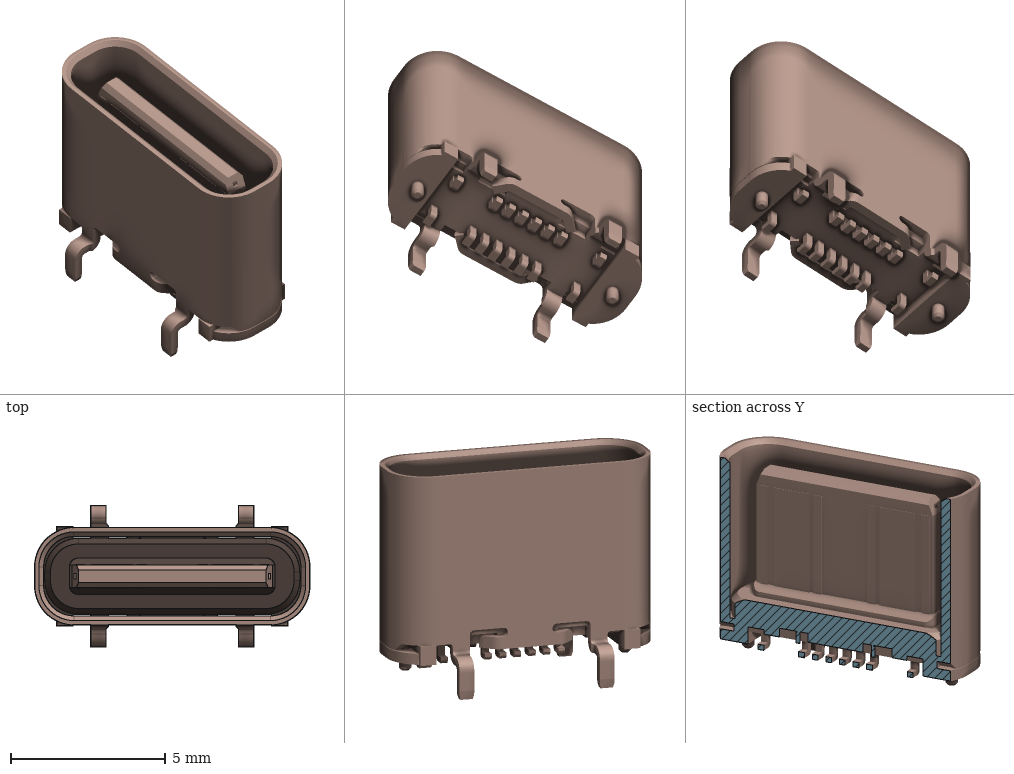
import cadquery as cq
import math


SHELL_X = 8.94
SHELL_Y = 3.165
SHELL_TOP = 6.285
SHELL_RADIUS = 1.29
SHEET = 0.295
RIM_CHAMFER = 0.15
SHELL_BOTTOM = 0.34
BEND_INNER = 0.125
BEND_OUTER = BEND_INNER + SHEET
INNER_FACE_Y = SHELL_Y / 2 - SHEET

CUT_MARGIN = 0.09
JOIN_OVERLAP = 0.09
FILLET_SLACK = 0.001

FOOT_TOP = 0.64
END_EDGE_Z = 0.4
SLOT_TOP = 1.05
SLOT_HEIGHT = 0.3
SLOT_BOTTOM = SLOT_TOP - SLOT_HEIGHT
SLOT_INNER_X = 0.76
TAB_START_X = 0.97
TAB_END_X = 1.6
TAB_CORNER = 0.25
TAB_ANGLE = 45
EDGE_FILLET = 0.11

LEG_OUTER_X = 2.65
LEG_WIDTH = 0.5
LEG_ROOT_INNER_X = 2.065
LEG_SPAN_Y = 4.6
LEG_BOTTOM = -1.06
LEG_BEND_Z = 0.4
LEG_TAPER_HEIGHT = 0.3
LEG_TAPER = 0.04
LEG_TIP_CHAMFER_X = 0.045
LEG_TIP_CHAMFER_Z = 0.14
FLARE_START_Y = 1.63

BODY_X = 8.28
BODY_Y = 2.47
BODY_RADIUS = 1.09
BODY_CHAMFER = 0.19
BODY_STEP_Z = 0.805
BODY_TOP = 1.52
CORE_BOTTOM = 0.44
CORE_INSET = 0.23
CORE_STEP_HEIGHT = 0.06
MIDDLE_RIB_X = 1.03
END_STEP_Z = 0.59
LEDGE_TOP = 0.37
LEDGE_SPAN_Y = 2.86
FOOT_INNER_X = 3.22
FOOT_OUTER_X = 3.755
FOOT_SPAN_Y = 3.22
RECESS_TOP_Y = 1.02
RECESS_BOTTOM_Y = 0.85
POST_X = 3.755
POST_RADIUS = 0.21
POST_BOTTOM = -0.52
POST_CHAMFER = 0.09

TONGUE_X = 6.49
TONGUE_Y = 0.72
TONGUE_TOP = 5.84
TONGUE_CHAMFER_Y = 0.16
TONGUE_CHAMFER_Z = 0.17
TONGUE_END_TAPER = 0.21
TONGUE_END_HEIGHT = 0.52
ROOT_X = 6.68
ROOT_Y = 1.18
ROOT_CORNER = 0.295
ROOT_STRAIGHT = 0.18
NOTCH_FLOOR_Z = 5.45
NOTCH_WIDTH = 0.18
NOTCH_X = 3.13
PAD_TOP = 5.3
PAD_HEIGHT = 0.02
PAD_SPANS_X = ((0.84, 1.14), (1.3, 2.62), (2.84, 3.13))

PITCH = 0.5
TAIL_STEPS = (0.5, 1.5, 2.5, 5.5)
TAIL_WIDTH = 0.23
TAIL_THICKNESS = 0.2
TAIL_INNER_Y = 0.55
TAIL_OUTER_Y = 1.055
TAIL_BOTTOM = -0.125
TAIL_BEND = 0.14
TAIL_CHAMFER_Y = 0.05
TAIL_CHAMFER_Z = 0.1


def span_box(x0, x1, y0, y1, z0, z1):
    """Box between the given limits."""
    return cq.Workplane("XY").box(x1 - x0, y1 - y0, z1 - z0, centered=False).translate((x0, y0, z0))


def rounded_block(length, width, radius, z0, z1):
    """Upright block with rounded corners, centred on the Z axis."""
    block = cq.Workplane("XY").workplane(offset=z0).rect(length, width).extrude(z1 - z0)
    return block.edges("|Z").fillet(radius)


def four_copies(piece):
    """The piece together with its mirror images across the XZ and YZ planes."""
    pair = piece.union(piece.mirror("YZ"))
    return pair.union(pair.mirror("XZ"))


def edge_opening():
    """Cutter for the slot and the gaps beside one leg."""
    depth = SHELL_Y / 2 + CUT_MARGIN
    below = SHELL_BOTTOM - CUT_MARGIN
    slot = span_box(SLOT_INNER_X, LEG_ROOT_INNER_X, 0, depth, SLOT_BOTTOM, SLOT_TOP)
    slot = slot.edges("|Y and <X").fillet(SLOT_HEIGHT / 2 - FILLET_SLACK)
    slot = slot.edges("|Y and >X and >Z").fillet(SLOT_HEIGHT / 2)
    tab_gap = span_box(TAB_START_X, LEG_ROOT_INNER_X, 0, depth, below, SLOT_BOTTOM)
    under_leg = span_box(LEG_ROOT_INNER_X, LEG_OUTER_X, 0, depth, below, LEG_BEND_Z)
    foot_gap = span_box(LEG_OUTER_X, FOOT_OUTER_X, 0, depth, below, FOOT_TOP)
    foot_gap = foot_gap.edges("|Y and <X and >Z").fillet(EDGE_FILLET)
    end_gap = span_box(FOOT_OUTER_X, SHELL_X / 2, 0, depth, below, END_EDGE_Z)
    return slot.union(tab_gap).union(under_leg).union(foot_gap).union(end_gap)


def end_recess():
    """Cutter above the ledge at one corner, bounded by an S-shaped edge."""
    far = SHELL_Y / 2 + CUT_MARGIN
    mid_y = (RECESS_TOP_Y + RECESS_BOTTOM_Y) / 2
    profile = (
        cq.Workplane("YZ", origin=(FOOT_OUTER_X, 0, 0))
        .moveTo(RECESS_BOTTOM_Y - EDGE_FILLET, END_EDGE_Z)
        .spline(
            [(mid_y, (END_EDGE_Z + FOOT_TOP) / 2), (RECESS_TOP_Y + EDGE_FILLET, FOOT_TOP)],
            tangents=[(1, 0), (1, 0)],
            includeCurrent=True,
        )
        .lineTo(far, FOOT_TOP)
        .lineTo(far, LEDGE_TOP)
        .lineTo(RECESS_BOTTOM_Y - EDGE_FILLET, LEDGE_TOP)
        .close()
    )
    return profile.extrude(SHELL_X / 2 - FOOT_OUTER_X + CUT_MARGIN)


def make_shell():
    """Sheet-metal tube with a chamfered mouth."""
    outer = rounded_block(SHELL_X, SHELL_Y, SHELL_RADIUS, SHELL_BOTTOM, SHELL_TOP)
    inner = rounded_block(
        SHELL_X - 2 * SHEET, SHELL_Y - 2 * SHEET, SHELL_RADIUS - SHEET, SHELL_BOTTOM, SHELL_TOP
    )
    tube = outer.cut(inner)
    tube = tube.faces(">Z").wires(cq.selectors.LengthNthSelector(0)).edges().chamfer(RIM_CHAMFER)
    return tube.cut(four_copies(edge_opening()))


def make_tab():
    """End of the middle stretch of the shell edge, bent diagonally inward."""
    outer_y = SHELL_Y / 2
    centre_y = outer_y - BEND_OUTER
    full = math.radians(TAB_ANGLE)
    half = full / 2

    def on_bend(radius, angle):
        return (TAB_START_X + radius * math.sin(angle), centre_y + radius * math.cos(angle))

    bend_end = on_bend(BEND_OUTER, full)
    straight = TAB_END_X - bend_end[0]
    tip = (TAB_END_X, bend_end[1] - straight)
    inner_bend_end = on_bend(BEND_INNER, full)
    inner_tip = (inner_bend_end[0] + straight, inner_bend_end[1] - straight)
    tab = (
        cq.Workplane("XY", origin=(0, 0, SHELL_BOTTOM))
        .moveTo(TAB_START_X, outer_y)
        .threePointArc(on_bend(BEND_OUTER, half), bend_end)
        .lineTo(*tip)
        .lineTo(*inner_tip)
        .lineTo(*inner_bend_end)
        .threePointArc(on_bend(BEND_INNER, half), (TAB_START_X, INNER_FACE_Y))
        .close()
        .extrude(SLOT_BOTTOM - SHELL_BOTTOM)
    )
    outline = span_box(0, TAB_END_X, 0, outer_y, SHELL_BOTTOM, SLOT_BOTTOM)
    return tab.intersect(outline.edges("|Y and >X and >Z").fillet(TAB_CORNER))


def make_leg():
    """Leg bent outward from the shell wall, then down to a tapered tip."""
    outer_y = LEG_SPAN_Y / 2
    root_y = SHELL_Y / 2
    shelf_top = LEG_BEND_Z - BEND_INNER
    shelf_bottom = LEG_BEND_Z - BEND_OUTER
    root_end_y = root_y + BEND_INNER
    bend_y = outer_y - BEND_OUTER
    bend_z = shelf_top - BEND_OUTER
    taper_z = LEG_BOTTOM + LEG_TAPER_HEIGHT
    diagonal = math.sqrt(0.5)
    strip = (
        cq.Workplane("YZ", origin=(LEG_ROOT_INNER_X, 0, 0))
        .moveTo(root_y, LEG_BEND_Z)
        .threePointArc(
            (root_end_y - BEND_INNER * diagonal, LEG_BEND_Z - BEND_INNER * diagonal),
            (root_end_y, shelf_top),
        )
        .lineTo(bend_y, shelf_top)
        .threePointArc(
            (bend_y + BEND_OUTER * diagonal, bend_z + BEND_OUTER * diagonal), (outer_y, bend_z)
        )
        .lineTo(outer_y, taper_z)
        .lineTo(outer_y - LEG_TAPER, LEG_BOTTOM)
        .lineTo(outer_y - SHEET + LEG_TAPER, LEG_BOTTOM)
        .lineTo(outer_y - SHEET, taper_z)
        .lineTo(outer_y - SHEET, bend_z)
        .threePointArc(
            (bend_y + BEND_INNER * diagonal, bend_z + BEND_INNER * diagonal), (bend_y, shelf_bottom)
        )
        .lineTo(root_end_y, shelf_bottom)
        .threePointArc(
            (root_end_y - BEND_OUTER * diagonal, LEG_BEND_Z - BEND_OUTER * diagonal),
            (INNER_FACE_Y, LEG_BEND_Z),
        )
        .close()
        .extrude(LEG_OUTER_X - LEG_ROOT_INNER_X)
    )
    leg_inner_x = LEG_OUTER_X - LEG_WIDTH
    flare = leg_inner_x - LEG_ROOT_INNER_X
    plan = (
        cq.Workplane("XY", origin=(0, 0, LEG_BOTTOM))
        .moveTo(LEG_ROOT_INNER_X, 0)
        .lineTo(LEG_ROOT_INNER_X, FLARE_START_Y)
        .lineTo(leg_inner_x, FLARE_START_Y + flare)
        .lineTo(leg_inner_x, outer_y)
        .lineTo(LEG_OUTER_X, outer_y)
        .lineTo(LEG_OUTER_X, 0)
        .close()
        .extrude(LEG_BEND_Z - LEG_BOTTOM)
    )
    for side_x, inward in ((leg_inner_x, 1), (LEG_OUTER_X, -1)):
        corner = (
            cq.Workplane("XZ", origin=(0, outer_y, 0))
            .moveTo(side_x, LEG_BOTTOM)
            .lineTo(side_x + inward * LEG_TIP_CHAMFER_X, LEG_BOTTOM)
            .lineTo(side_x, LEG_BOTTOM + LEG_TIP_CHAMFER_Z)
            .close()
            .extrude(SHEET)
        )
        strip = strip.cut(corner)
    return strip.intersect(plan)


def make_insulator():
    """Moulded body inside the shell, with end ledges, feet and locating posts."""
    core_top = BODY_STEP_Z - CORE_STEP_HEIGHT
    body = rounded_block(BODY_X, BODY_Y, BODY_RADIUS, core_top, BODY_TOP)
    body = body.faces(">Z").edges().chamfer(BODY_CHAMFER)
    body = body.faces("<Z").edges().chamfer(CORE_STEP_HEIGHT, CORE_INSET)
    core_y = BODY_Y / 2 - CORE_INSET
    core = span_box(-FOOT_OUTER_X, FOOT_OUTER_X, -core_y, core_y, CORE_BOTTOM, core_top)
    insulator = body.union(core)

    end_zone = span_box(FOOT_INNER_X, SHELL_X / 2, -SHELL_Y, SHELL_Y, 0, SHELL_TOP)
    ledge_y = LEDGE_SPAN_Y / 2
    ledge_zone = span_box(FOOT_OUTER_X, SHELL_X / 2, -ledge_y, ledge_y, 0, LEDGE_TOP)
    ledge = rounded_block(SHELL_X, SHELL_Y, SHELL_RADIUS, 0, LEDGE_TOP).intersect(ledge_zone)
    end_fill = rounded_block(
        SHELL_X - 2 * SHEET, SHELL_Y - 2 * SHEET, SHELL_RADIUS - SHEET, 0, BODY_STEP_Z
    ).intersect(end_zone)
    foot_y = FOOT_SPAN_Y / 2
    foot = span_box(FOOT_INNER_X, FOOT_OUTER_X, -foot_y, foot_y, 0, FOOT_TOP)
    post = cq.Workplane("XY", origin=(POST_X, 0, POST_BOTTOM)).circle(POST_RADIUS).extrude(-POST_BOTTOM)
    post = post.faces("<Z").chamfer(POST_CHAMFER)
    end = ledge.union(end_fill).union(foot).union(post)
    insulator = insulator.union(end).union(end.mirror("YZ"))

    middle_rib = span_box(0, MIDDLE_RIB_X, core_y, INNER_FACE_Y, CORE_BOTTOM, BODY_STEP_Z)
    leg_rib = span_box(LEG_ROOT_INNER_X, LEG_OUTER_X, core_y, INNER_FACE_Y, CORE_BOTTOM, core_top)
    end_step = span_box(LEG_OUTER_X, FOOT_INNER_X, core_y, BODY_Y / 2, END_STEP_Z, BODY_STEP_Z)
    return insulator.union(four_copies(middle_rib.union(leg_rib).union(end_step)))


def make_tongue():
    """Central tongue on a thicker sloped root, with contact pads on both faces."""
    half_x = TONGUE_X / 2
    half_y = TONGUE_Y / 2
    side = (
        cq.Workplane("YZ", origin=(-half_x, 0, 0))
        .moveTo(-half_y, BODY_TOP)
        .lineTo(-half_y, TONGUE_TOP - TONGUE_CHAMFER_Z)
        .lineTo(TONGUE_CHAMFER_Y - half_y, TONGUE_TOP)
        .lineTo(half_y - TONGUE_CHAMFER_Y, TONGUE_TOP)
        .lineTo(half_y, TONGUE_TOP - TONGUE_CHAMFER_Z)
        .lineTo(half_y, BODY_TOP)
        .close()
        .extrude(TONGUE_X)
    )
    face = (
        cq.Workplane("XZ", origin=(0, half_y, 0))
        .moveTo(-half_x, BODY_TOP)
        .lineTo(-half_x, TONGUE_TOP - TONGUE_END_HEIGHT)
        .lineTo(TONGUE_END_TAPER - half_x, TONGUE_TOP)
        .lineTo(half_x - TONGUE_END_TAPER, TONGUE_TOP)
        .lineTo(half_x, TONGUE_TOP - TONGUE_END_HEIGHT)
        .lineTo(half_x, BODY_TOP)
        .close()
        .extrude(TONGUE_Y)
    )
    tongue = side.intersect(face)

    notch = span_box(
        NOTCH_X, half_x, -NOTCH_WIDTH / 2, NOTCH_WIDTH / 2, NOTCH_FLOOR_Z, TONGUE_TOP
    )
    tongue = tongue.cut(notch).cut(notch.mirror("YZ"))

    slope = (ROOT_Y - TONGUE_Y) / 2
    root_top = BODY_TOP + ROOT_STRAIGHT + slope
    root = rounded_block(ROOT_X, ROOT_Y, ROOT_CORNER, BODY_TOP, root_top)
    root_slopes = (
        cq.Workplane("YZ", origin=(-ROOT_X / 2, 0, 0))
        .moveTo(-ROOT_Y / 2, BODY_TOP)
        .lineTo(-ROOT_Y / 2, BODY_TOP + ROOT_STRAIGHT)
        .lineTo(-half_y, root_top)
        .lineTo(half_y, root_top)
        .lineTo(ROOT_Y / 2, BODY_TOP + ROOT_STRAIGHT)
        .lineTo(ROOT_Y / 2, BODY_TOP)
        .close()
        .extrude(ROOT_X)
    )
    tongue = tongue.union(root.intersect(root_slopes))

    for start_x, end_x in PAD_SPANS_X:
        pad = span_box(start_x, end_x, half_y - JOIN_OVERLAP, half_y + PAD_HEIGHT, BODY_TOP, PAD_TOP)
        tongue = tongue.union(four_copies(pad))
    return tongue


def make_tail(x):
    """One contact tail: a stem below the body, bent outward to a short foot."""
    foot_top = TAIL_BOTTOM + TAIL_THICKNESS
    stem_outer_y = TAIL_INNER_Y + TAIL_THICKNESS
    return (
        cq.Workplane("YZ", origin=(x - TAIL_WIDTH / 2, 0, 0))
        .moveTo(TAIL_INNER_Y, CORE_BOTTOM)
        .lineTo(stem_outer_y, CORE_BOTTOM)
        .lineTo(stem_outer_y, foot_top)
        .lineTo(TAIL_OUTER_Y, foot_top)
        .lineTo(TAIL_OUTER_Y, TAIL_BOTTOM + TAIL_CHAMFER_Z)
        .lineTo(TAIL_OUTER_Y - TAIL_CHAMFER_Y, TAIL_BOTTOM)
        .lineTo(TAIL_INNER_Y + TAIL_BEND, TAIL_BOTTOM)
        .radiusArc((TAIL_INNER_Y, TAIL_BOTTOM + TAIL_BEND), TAIL_BEND)
        .close()
        .extrude(TAIL_WIDTH)
    )


connector = make_shell().union(make_insulator()).cut(four_copies(end_recess()))
connector = connector.union(make_tongue())
connector = connector.union(four_copies(make_tab()))
connector = connector.union(four_copies(make_leg()))
for step in TAIL_STEPS:
    connector = connector.union(four_copies(make_tail(step * PITCH)))

result = connector